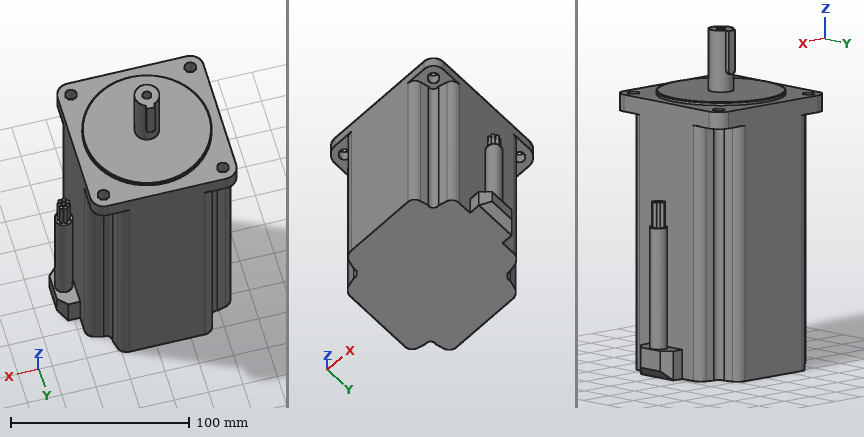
import cadquery as cq
import math

total_height = 193.0
flange_top = 156.0
flange_thickness = 9.6
flange_bottom = flange_top - flange_thickness

flange_width = 85.0
flange_corner_radius = 7.7
bolt_spacing = 69.5
bolt_hole_diameter = 6.5

pilot_diameter = 73.0
pilot_height = 2.0
pilot_chamfer = 0.5
pilot_top = flange_top + pilot_height

corner_setback = 20.5
lobe_radius = 5.8
lobe_turn = math.radians(75)
slant_length = 5.2

shaft_diameter = 14.0
shaft_hole_diameter = 5.0
shaft_hole_depth = 15.5
key_width = 5.0
key_length = 25.0
key_outer_y = 8.9

outlet_reach = 12.2
outlet_width = 26.5
outlet_height = 16.8
outlet_chamfer = 5.2
cable_x = 48.5
cable_diameter = 10.0
cable_top = 85.9
wire_top = 100.4
wire_diameter = 2.1
wire_ring_radius = 2.7
outer_wire_count = 7
first_wire_angle = -5


def corner_points():
    """Half a corner, as (along, inward) distances from the sharp corner, ending on its diagonal."""
    def on_lobe(turn):
        along = corner_setback - lobe_radius * math.sin(turn)
        inward = lobe_radius * (1 - math.cos(turn))
        return along, inward

    lobe_middle = on_lobe(lobe_turn / 2)
    lobe_end = on_lobe(lobe_turn)
    slant_end = (
        lobe_end[0] - slant_length * math.cos(lobe_turn),
        lobe_end[1] + slant_length * math.sin(lobe_turn),
    )
    half_turn = lobe_turn - math.pi / 4
    hollow_radius = (slant_end[0] - slant_end[1]) / (math.sqrt(2) * math.cos(half_turn))
    hollow_depth = hollow_radius * (1 - math.sin(half_turn)) / math.sqrt(2)
    diagonal = (slant_end[0] + slant_end[1]) / 2 + hollow_depth
    return lobe_middle, lobe_end, slant_end, (diagonal, diagonal)


def make_body():
    half = flange_width / 2
    lobe_middle, lobe_end, slant_end, hollow_middle = corner_points()

    def place(point, quarter, mirrored=False):
        """Move a corner point to the given quarter of the section."""
        along, inward = point[::-1] if mirrored else point
        x, y = half - along, half - inward
        for _ in range(quarter):
            x, y = y, -x
        return x, y

    flat_end = (corner_setback, 0)
    outline = cq.Workplane("XY").moveTo(*place(flat_end, 0))
    for quarter in range(4):
        if quarter > 0:
            outline = outline.lineTo(*place(flat_end, quarter))
        outline = (
            outline.threePointArc(place(lobe_middle, quarter), place(lobe_end, quarter))
            .lineTo(*place(slant_end, quarter))
            .threePointArc(place(hollow_middle, quarter), place(slant_end, quarter, True))
            .lineTo(*place(lobe_end, quarter, True))
            .threePointArc(place(lobe_middle, quarter, True), place(flat_end, quarter, True))
        )
    return outline.close().extrude(flange_bottom)


def make_flange():
    return (
        cq.Workplane("XY", origin=(0, 0, flange_bottom))
        .rect(flange_width, flange_width)
        .extrude(flange_thickness)
        .edges("|Z")
        .fillet(flange_corner_radius)
    )


def make_bolt_holes():
    return (
        cq.Workplane("XY", origin=(0, 0, flange_bottom))
        .rect(bolt_spacing, bolt_spacing, forConstruction=True)
        .vertices()
        .circle(bolt_hole_diameter / 2)
        .extrude(flange_thickness)
    )


def cylinder(diameter, bottom, top, x=0, y=0):
    return cq.Workplane("XY", origin=(x, y, bottom)).circle(diameter / 2).extrude(top - bottom)


def make_pilot():
    return cylinder(pilot_diameter, flange_top, pilot_top).faces(">Z").chamfer(pilot_chamfer)


def make_key():
    """Key on the +Y side, open at the shaft end and round at its lower end."""
    half = key_width / 2
    bottom = total_height - key_length
    return (
        cq.Workplane("XZ")
        .moveTo(-half, total_height)
        .lineTo(-half, bottom + half)
        .threePointArc((0, bottom), (half, bottom + half))
        .lineTo(half, total_height)
        .close()
        .extrude(-key_outer_y)
    )


def make_shaft():
    hole = cylinder(shaft_hole_diameter, total_height - shaft_hole_depth, total_height)
    return cylinder(shaft_diameter, pilot_top, total_height).union(make_key()).cut(hole)


def make_outlet():
    """Chamfered block on the +X side, with its cable and bare wires."""
    outlet = (
        cq.Workplane("XY", origin=(flange_width / 2, 0, 0))
        .box(outlet_reach, outlet_width, outlet_height, centered=(False, True, False))
        .edges("(>X and |Z) or (>X and <Z)")
        .chamfer(outlet_chamfer)
    )
    outlet = outlet.union(cylinder(cable_diameter, outlet_height, cable_top, cable_x))
    outlet = outlet.union(cylinder(wire_diameter, cable_top, wire_top, cable_x))
    for index in range(outer_wire_count):
        angle = math.radians(first_wire_angle + index * 360 / outer_wire_count)
        x = cable_x + wire_ring_radius * math.cos(angle)
        y = wire_ring_radius * math.sin(angle)
        outlet = outlet.union(cylinder(wire_diameter, cable_top, wire_top, x, y))
    return outlet


motor = make_body().union(make_flange()).cut(make_bolt_holes())
result = motor.union(make_pilot()).union(make_shaft()).union(make_outlet())